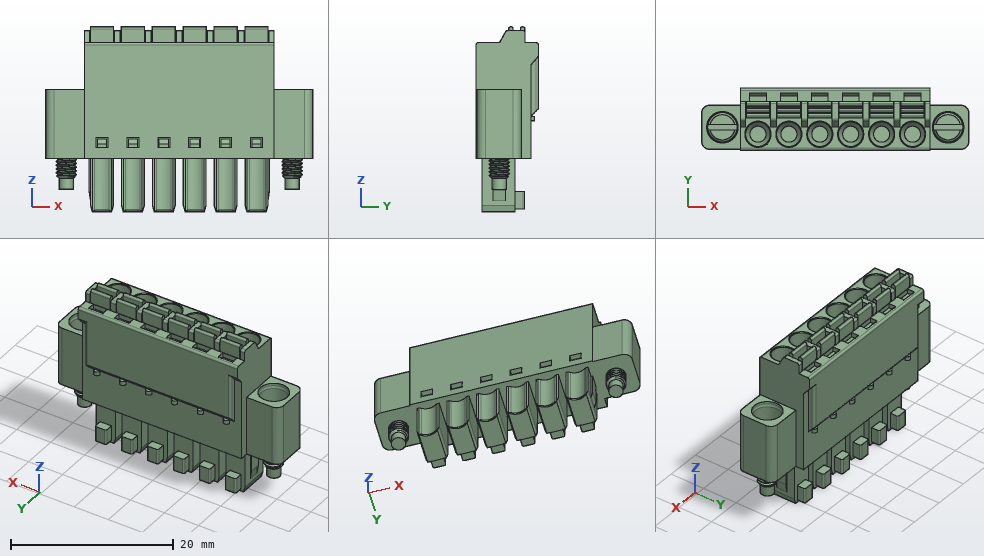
import cadquery as cq

overall_length = 32.95
body_length = 23.4
pole_count = 6
pole_span = 19.05
pole_pitch = pole_span / (pole_count - 1)
pole_xs = [(i - (pole_count - 1) / 2) * pole_pitch for i in range(pole_count)]
sides = (-1, 1)

body_bottom = 6.55
shelf_z = 20.85
ridge_z = 22.35
top_z = 22.8
front_y = 0.0
lower_back_y = 6.8
back_y = 7.7
overhang_low_z = 18.12
overhang_high_z = 19.18
ridge_front_foot_y = 2.9
ridge_front_y = 3.72
ridge_back_y = 6.05
edge_radius = 0.3

bulge_inset = 1.0
bulge_low_z = 12.72
bulge_foot_z = 11.75
bulge_edge_radius = 0.33
nub_radius = 0.43
nub_height = 0.55

pocket_width = 3.05
lever_width = 2.87
lever_front_y = 4.02
lever_back_y = 6.03
lever_wall = 0.55
lever_edge_radius = 0.25
slot_shoulder_z = 21.1
slot_floor_z = 20.43
slot_floor_width = 0.25
recess_width = 2.08
recess_back_y = 7.1
recess_floor_back_y = 6.72
recess_depth = 0.65

entry_y = 2.0
entry_rim_radius = 1.6
entry_radius = 1.5
entry_rim_depth = 0.1
entry_bottom_radius = 1.0
entry_straight_depth = 2.65
entry_depth = 3.62

window_width = 1.48
window_low_z = 7.95
window_high_z = 9.13
window_depth = 0.65
contact_width = 1.12
contact_depth = 0.35
contact_slope_z = 8.37
contact_top_z = 8.95

prong_width = 2.85
prong_front_y = 0.72
prong_back_y = 4.8
prong_tip_inset = 0.23
prong_tip_height = 0.8
groove_width = 2.3
groove_arc_width = 1.78
groove_side_depth = 0.13
groove_depth = 0.4
groove_tip_relief_height = 0.2
groove_tip_relief_depth = 0.05
key_width = 1.65
key_back_y = 6.0
key_low_z = 0.33
key_high_z = 2.5
key_edge_radius = 0.23
rail_front_y = 2.1
rail_back_y = 3.62
rail_height = 0.2
rail_ramp_low_z = 1.4
rail_ramp_high_z = 2.6

flange_front_y = 0.13
flange_back_y = 5.6
flange_top_z = 15.1
flange_corner_radius = 1.02
screw_x = 13.9
screw_y = (flange_front_y + flange_back_y) / 2
bore_radius = 1.85
bore_rim_radius = 1.95
bore_rim_depth = 0.35
bore_taper_depth = 0.35

head_bottom_z = 8.9
head_top_z = 10.87
head_radius = 1.8
head_chamfer = 0.25
drive_slot_width = 0.72
drive_slot_depth = 0.65
thread_radius = 1.25
thread_root_radius = 1.05
thread_pitch = 0.45
thread_crest_flat = 0.03
thread_base_gap = 0.015
thread_cone_end_z = 4.12
pilot_radius = 0.9
screw_tip_z = 2.77


def box(x_limits, y_limits, z_limits):
    """Box between the given limits."""
    size = [high - low for low, high in (x_limits, y_limits, z_limits)]
    corner = (x_limits[0], y_limits[0], z_limits[0])
    return cq.Workplane("XY").box(*size, centered=False).translate(corner)


def bar(outline, width, x=0.0):
    """Bar along X, centred on x, whose cross-section is a polygon of (y, z) points."""
    return cq.Workplane("YZ").workplane(offset=x - width / 2).polyline(outline).close().extrude(width)


def turned(outline, x, y):
    """Body of revolution about a vertical axis at (x, y), from a polygon of (radius, z) points."""
    points = [(-radius, z) for radius, z in outline]
    return cq.Workplane("XZ").polyline(points).close().revolve(360, (0, 0), (0, 1)).translate((x, y, 0))


def around(x, width):
    """Limits of a width centred on x."""
    return (x - width / 2, x + width / 2)


def make_body():
    outline = [
        (front_y, body_bottom),
        (front_y, shelf_z),
        (ridge_front_foot_y, shelf_z),
        (ridge_front_y, ridge_z),
        (ridge_back_y, ridge_z),
        (ridge_back_y, shelf_z),
        (back_y, shelf_z),
        (back_y, overhang_high_z),
        (lower_back_y, overhang_low_z),
        (lower_back_y, body_bottom),
    ]
    body = bar(outline, body_length)
    rounded = [(front_y, shelf_z), (ridge_front_y, ridge_z), (ridge_back_y, ridge_z), (back_y, shelf_z)]
    for y, z in rounded:
        body = body.edges(cq.NearestToPointSelector((0, y, z))).fillet(edge_radius)
    return body


def make_bulge():
    outline = [
        (lower_back_y, bulge_foot_z),
        (back_y, bulge_low_z),
        (back_y, overhang_high_z),
        (lower_back_y, overhang_low_z),
    ]
    bulge = bar(outline, body_length - 2 * bulge_inset)
    return bulge.faces(">Y").edges("|Z").fillet(bulge_edge_radius)


def make_nub(x):
    nub = cq.Workplane("XY").circle(nub_radius).extrude(nub_height)
    return nub.translate((x, lower_back_y, bulge_foot_z - nub_height))


def make_flange(side):
    inner_x = side * body_length / 2
    outer_x = side * overall_length / 2
    flange = box(
        sorted((inner_x, outer_x)), (flange_front_y, flange_back_y), (body_bottom, flange_top_z)
    )
    return flange.faces(">X" if side > 0 else "<X").edges("|Z").fillet(flange_corner_radius)


def make_screw_bore(side):
    outline = [
        (0, body_bottom),
        (thread_root_radius, body_bottom),
        (thread_root_radius, head_bottom_z),
        (bore_radius, head_bottom_z),
        (bore_radius, flange_top_z - bore_rim_depth - bore_taper_depth),
        (bore_rim_radius, flange_top_z - bore_rim_depth),
        (bore_rim_radius, flange_top_z),
        (0, flange_top_z),
    ]
    return turned(outline, side * screw_x, screw_y)


def make_lever_pocket(x):
    """Opening in the ridge and the recess behind it in the back shelf."""
    opening = box(around(x, pocket_width), (ridge_front_foot_y, ridge_back_y), (shelf_z, ridge_z))
    recess_outline = [
        (ridge_back_y, shelf_z),
        (recess_back_y, shelf_z),
        (recess_floor_back_y, shelf_z - recess_depth),
        (ridge_back_y, shelf_z - recess_depth),
    ]
    return opening.union(bar(recess_outline, recess_width, x))


def make_lever(x):
    """Block with rounded rims that stands in the pocket."""
    lever = box(around(x, lever_width), (lever_front_y, lever_back_y), (shelf_z, top_z))
    slot_front = lever_front_y + lever_wall
    slot_back = lever_back_y - lever_wall
    lever = lever.cut(box(around(x, lever_width), (slot_front, slot_back), (shelf_z, top_z)))
    return lever.faces(">Z").edges("|X").fillet(lever_edge_radius)


def make_lever_slot(x):
    """Slot between the lever rims, narrowing to a flat floor below the shelf."""
    slot_front = lever_front_y + lever_wall
    slot_back = lever_back_y - lever_wall
    middle = (slot_front + slot_back) / 2
    outline = [
        (slot_front, slot_shoulder_z),
        (slot_back, slot_shoulder_z),
        (middle + slot_floor_width / 2, slot_floor_z),
        (middle - slot_floor_width / 2, slot_floor_z),
    ]
    return bar(outline, lever_width, x)


def make_wire_entry(x):
    outline = [
        (0, shelf_z),
        (entry_rim_radius, shelf_z),
        (entry_radius, shelf_z - entry_rim_depth),
        (entry_radius, shelf_z - entry_straight_depth),
        (entry_bottom_radius, shelf_z - entry_depth),
        (0, shelf_z - entry_depth),
    ]
    return turned(outline, x, entry_y)


def make_window(x):
    """Recess in the front face that leaves the sloped end of a contact standing inside."""
    recess = box(around(x, window_width), (front_y, window_depth), (window_low_z, window_high_z))
    contact_outline = [
        (window_depth, window_low_z),
        (contact_depth, window_low_z),
        (contact_depth, contact_slope_z),
        (window_depth, contact_top_z),
    ]
    return recess.cut(bar(contact_outline, contact_width, x))


def make_prong(x):
    half = prong_width / 2
    outline = [
        (x - half + prong_tip_inset, 0),
        (x + half - prong_tip_inset, 0),
        (x + half, prong_tip_height),
        (x + half, body_bottom),
        (x - half, body_bottom),
        (x - half, prong_tip_height),
    ]
    depth = prong_back_y - prong_front_y
    prong = cq.Workplane("XZ", origin=(0, prong_back_y, 0)).polyline(outline).close().extrude(depth)
    groove = (
        cq.Workplane("XY")
        .moveTo(x - groove_width / 2, prong_front_y)
        .lineTo(x - groove_arc_width / 2, prong_front_y + groove_side_depth)
        .threePointArc(
            (x, prong_front_y + groove_depth),
            (x + groove_arc_width / 2, prong_front_y + groove_side_depth),
        )
        .lineTo(x + groove_width / 2, prong_front_y)
        .close()
        .extrude(body_bottom)
    )
    prong = prong.cut(groove)
    arc_edge = cq.NearestToPointSelector((x, prong_front_y + groove_depth, 0))
    prong = prong.edges(arc_edge).chamfer(groove_tip_relief_depth, groove_tip_relief_height)
    key = box(around(x, key_width), (prong_back_y, key_back_y), (key_low_z, key_high_z))
    key = key.faces(">Y").edges("|Z").fillet(key_edge_radius)
    return prong.union(key)


def make_rail(side):
    """Guide rail with a ramped lower end on the outer side of an end prong."""
    root_x = side * (pole_span + prong_width) / 2
    crest_x = root_x + side * rail_height
    outline = [
        (root_x, body_bottom),
        (crest_x, body_bottom),
        (crest_x, rail_ramp_high_z),
        (root_x, rail_ramp_low_z),
    ]
    plane = cq.Workplane("XZ", origin=(0, rail_back_y, 0))
    return plane.polyline(outline).close().extrude(rail_back_y - rail_front_y)


def make_housing():
    housing = make_body().union(make_bulge())
    for side in sides:
        housing = housing.union(make_flange(side)).cut(make_screw_bore(side)).union(make_rail(side))
    for x in pole_xs:
        housing = housing.cut(make_lever_pocket(x)).union(make_lever(x)).cut(make_lever_slot(x))
        housing = housing.cut(make_wire_entry(x)).cut(make_window(x))
        housing = housing.union(make_prong(x)).union(make_nub(x))
    return housing


def make_thread():
    """Helical ridge, trimmed at the flange and by the cone at the end of the thread."""
    start_z = thread_cone_end_z - thread_pitch
    height = body_bottom - start_z + thread_pitch
    overlap = 0.03
    base_x = thread_root_radius - overlap
    half_base = (thread_pitch - thread_base_gap) / 2
    half_crest = thread_crest_flat / 2
    ridge_outline = [
        (base_x, start_z - half_base),
        (thread_radius, start_z - half_crest),
        (thread_radius, start_z + half_crest),
        (base_x, start_z + half_base),
    ]
    helix = cq.Wire.makeHelix(thread_pitch, height, thread_root_radius, center=cq.Vector(0, 0, start_z))
    ridge = cq.Workplane("XZ").polyline(ridge_outline).close().sweep(helix, isFrenet=True)
    outer_radius = thread_radius + overlap
    envelope = [
        (0, thread_cone_end_z),
        (pilot_radius, thread_cone_end_z),
        (outer_radius, thread_cone_end_z + outer_radius - pilot_radius),
        (outer_radius, body_bottom),
        (0, body_bottom),
    ]
    return ridge.intersect(turned(envelope, 0, 0))


def make_screw(side):
    core_outline = [
        (0, screw_tip_z),
        (pilot_radius, screw_tip_z),
        (pilot_radius, thread_cone_end_z),
        (thread_root_radius, thread_cone_end_z + thread_root_radius - pilot_radius),
        (thread_root_radius, head_bottom_z),
        (head_radius, head_bottom_z),
        (head_radius, head_top_z - head_chamfer),
        (head_radius - head_chamfer, head_top_z),
        (0, head_top_z),
    ]
    screw = turned(core_outline, 0, 0).union(make_thread())
    drive_slot = box(
        around(0, 2 * head_radius),
        around(0, drive_slot_width),
        (head_top_z - drive_slot_depth, head_top_z),
    )
    return screw.cut(drive_slot).translate((side * screw_x, screw_y, 0))


housing = make_housing()
screws = [make_screw(side) for side in sides]
result = cq.Compound.makeCompound([housing.solids().val(), *[screw.solids().val() for screw in screws]])